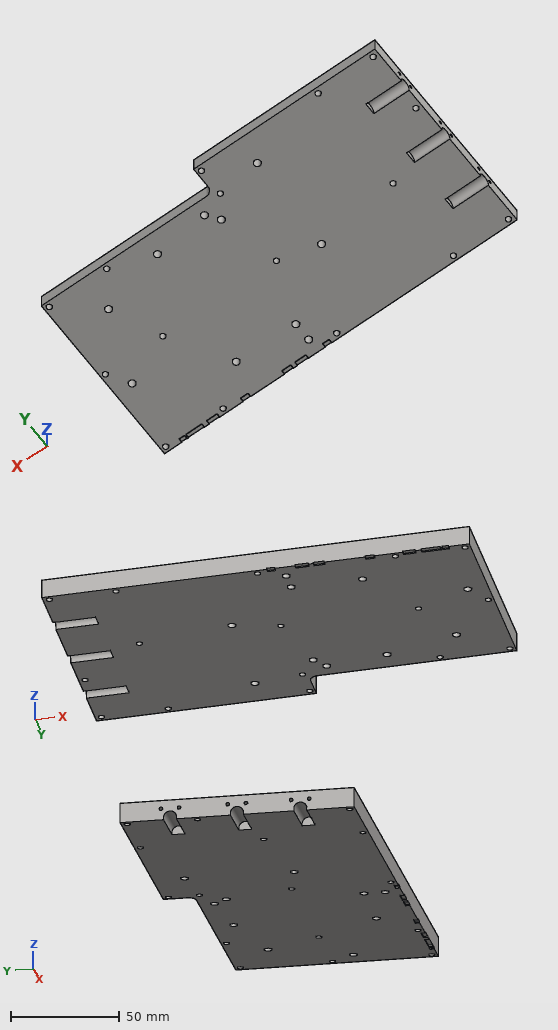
import cadquery as cq

length = 203.0
width = 110.2
thickness = 9.5

step_x = 104.3
step_y = 95.5
step_fillet = 3.7

fastener_dia = 2.8
left_margin = 3.0
edge_margin = 2.6
back_margin = 2.8
left_column = 34.7
middle_column = 102.0
right_column = 167.3
middle_row = 49.3
side_hole_y = 74.3

locating_dia = 3.7
locating_points = [
    (78.8, 95.2),
    (114.5, 88.1),
    (109.6, 81.6),
    (144.0, 84.9),
    (179.0, 75.5),
    (80.0, 43.8),
    (193.3, 38.2),
    (148.0, 18.5),
    (114.3, 17.7),
    (114.3, 7.7),
]

channel_rows = [25.4, 55.2, 86.7]
channel_width = 6.0
channel_height = 4.0
channel_depth = 20.3
pilot_dia = 1.6
pilot_offset = 4.3
pilot_z = 5.5
pilot_depth = 10.2

notch_spans = [
    (106.8, 110.5),
    (120.2, 126.5),
    (129.0, 134.0),
    (153.5, 157.7),
    (171.3, 177.2),
    (180.0, 189.2),
    (190.0, 193.0),
]
notch_height = 0.6
notch_depth = 2.0


def make_plate():
    outline = [(0, 0), (length, 0), (length, step_y), (step_x, step_y), (step_x, width), (0, width)]
    plate = cq.Workplane("XY").polyline(outline).close().extrude(thickness)
    inner_corner = cq.selectors.NearestToPointSelector((step_x, step_y, thickness / 2))
    return plate.edges("|Z").edges(inner_corner).fillet(step_fillet)


def fastener_points():
    front_row = edge_margin
    step_row = step_y - edge_margin
    back_row = width - back_margin
    right_edge_column = length - edge_margin
    points = [(left_margin, y) for y in (front_row, side_hole_y, back_row)]
    points += [(left_column, y) for y in (front_row, middle_row, back_row)]
    points += [(middle_column, y) for y in (front_row, middle_row, step_row, back_row)]
    for x in (right_column, right_edge_column):
        points += [(x, y) for y in (front_row, middle_row, step_row)]
    return points


def through_holes(points, diameter):
    return cq.Workplane("XY").pushPoints(points).circle(diameter / 2).extrude(thickness)


def arched_channel(y):
    radius = channel_width / 2
    spring_z = channel_height - radius
    return (
        cq.Workplane("YZ")
        .moveTo(y - radius, 0)
        .lineTo(y - radius, spring_z)
        .threePointArc((y, channel_height), (y + radius, spring_z))
        .lineTo(y + radius, 0)
        .close()
        .extrude(channel_depth)
    )


def pilot_holes(y):
    centers = [(y - pilot_offset, pilot_z), (y + pilot_offset, pilot_z)]
    return cq.Workplane("YZ").pushPoints(centers).circle(pilot_dia / 2).extrude(pilot_depth)


def front_notch(start, end):
    notch = cq.Workplane("XY").box(end - start, notch_depth, notch_height, centered=False)
    return notch.translate((start, 0, 0))


result = make_plate()
result = result.cut(through_holes(fastener_points(), fastener_dia))
result = result.cut(through_holes(locating_points, locating_dia))
for row in channel_rows:
    result = result.cut(arched_channel(row)).cut(pilot_holes(row))
for start, end in notch_spans:
    result = result.cut(front_notch(start, end))